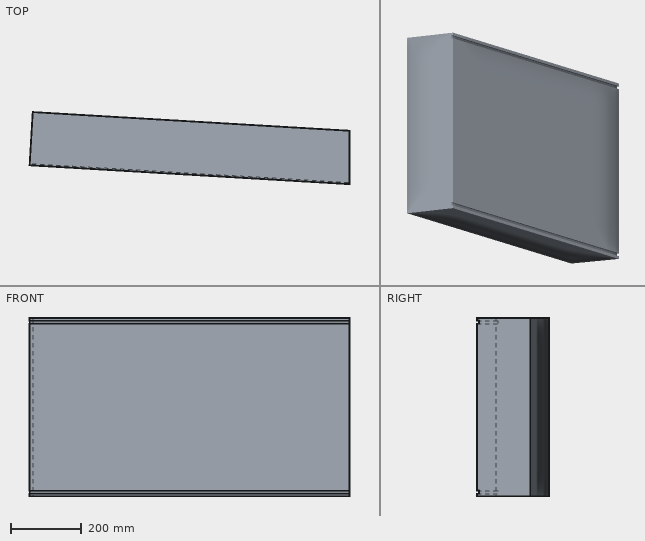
import cadquery as cq
import math

length = 911.0
depth = 206.0
height = 508.0

front_drop = 54.0
slope = front_drop / length
slope_angle = math.atan(slope)

groove_offset = 8.0
groove_width = 8.0
groove_depth = 5.5

left_end_run = slope * (depth - front_drop)
right_end_depth = depth - slope * (length - left_end_run)

front_left = (0, front_drop)
front_right = (length, 0)
back_right = (length, right_end_depth)
back_left = (left_end_run, depth)


def make_body():
    outline = [front_left, front_right, back_right, back_left]
    return cq.Workplane("XY").polyline(outline).close().extrude(height)


def make_groove(bottom):
    """Strip parallel to the front face that runs out through both ends."""
    depth_along_y = groove_depth / math.cos(slope_angle)
    start_x = -length
    end_x = 2 * length

    def front_y(x):
        return front_drop - slope * x

    outline = [
        (start_x, front_y(start_x) - depth_along_y),
        (end_x, front_y(end_x) - depth_along_y),
        (end_x, front_y(end_x) + depth_along_y),
        (start_x, front_y(start_x) + depth_along_y),
    ]
    plane = cq.Workplane("XY").workplane(offset=bottom)
    return plane.polyline(outline).close().extrude(groove_width)


result = make_body()
for groove_bottom in (groove_offset, height - groove_offset - groove_width):
    result = result.cut(make_groove(groove_bottom))